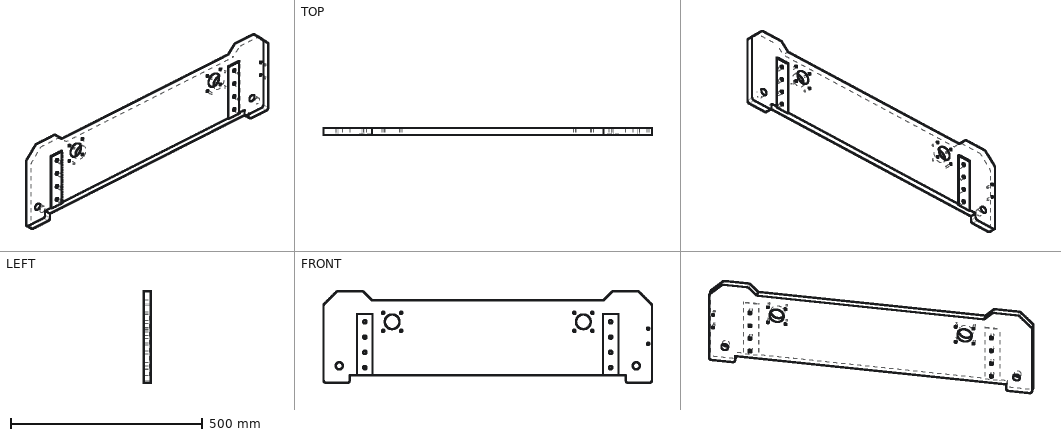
import cadquery as cq

length = 860.0
thickness = 19.0
height = 240.0
mid_x = length / 2

outer_chamfer = 35.0
shoulder_end = 104.0
shoulder_drop = 23.0
foot_width = 69.0
foot_height = 20.0
corner_radius = 6.45

pocket_width = 40.0
pocket_top = 180.0
pocket_depth = 3.0
pocket_center = 108.0
strip_hole_diameter = 8.0
strip_hole_pitch = 40.0
strip_hole_count = 4

motor_x = 180.0
motor_z = 160.0
motor_bore = 38.0
motor_screw_spacing = 47.1
screw_diameter = 5.1

foot_hole_inset = 41.0
foot_hole_z = 45.0
foot_hole_diameter = 18.0
edge_hole_inset = 10.0
edge_hole_heights = (102.0, 142.0)


def mirrored(x):
    """Return a position and its mirror image about the middle of the length."""
    return (x, length - x)


def drill(body, centers, diameter):
    """Cut round holes through the plate at the given (x, z) centers."""
    cutter = (
        cq.Workplane("XZ")
        .pushPoints(centers)
        .circle(diameter / 2)
        .extrude(-thickness)
    )
    return body.cut(cutter)


def make_plate():
    """Build the symmetric plate with rounded shoulders and feet."""
    left_half = [
        (foot_width, foot_height),
        (foot_width, 0),
        (0, 0),
        (0, height - outer_chamfer),
        (outer_chamfer, height),
        (shoulder_end, height),
        (shoulder_end + shoulder_drop, height - shoulder_drop),
    ]
    right_half = [(length - x, z) for x, z in reversed(left_half)]
    plate = cq.Workplane("XZ").polyline(left_half + right_half).close().extrude(-thickness)

    rounded_corners = [
        (x, z)
        for corner_x, z in left_half[1:6]
        for x in mirrored(corner_x)
    ]
    for x, z in rounded_corners:
        nearest = cq.selectors.NearestToPointSelector((x, thickness / 2, z))
        plate = plate.edges("|Y").edges(nearest).fillet(corner_radius)
    return plate


def cut_strip_pockets(body):
    """Sink a strip pocket with a row of holes near each end."""
    pocket_height = pocket_top - foot_height
    hole_heights = [strip_hole_pitch * (i + 1) for i in range(strip_hole_count)]
    for x in mirrored(pocket_center):
        pocket = cq.Workplane("XY").box(
            pocket_width, pocket_depth, pocket_height, centered=(True, False, False)
        )
        body = body.cut(pocket.translate((x, 0, foot_height)))
        body = drill(body, [(x, z) for z in hole_heights], strip_hole_diameter)
    return body


def cut_motor_openings(body):
    """Cut each motor bore and the square of screw holes around it."""
    offset = motor_screw_spacing / 2
    for x in mirrored(motor_x):
        screws = [
            (x + dx, motor_z + dz)
            for dx in (-offset, offset)
            for dz in (-offset, offset)
        ]
        body = drill(body, [(x, motor_z)], motor_bore)
        body = drill(body, screws, screw_diameter)
    return body


result = make_plate()
result = cut_strip_pockets(result)
result = cut_motor_openings(result)
result = drill(result, [(x, foot_hole_z) for x in mirrored(foot_hole_inset)], foot_hole_diameter)
result = drill(result, [(length - edge_hole_inset, z) for z in edge_hole_heights], screw_diameter)
result = result.translate((-mid_x, 0, 0))